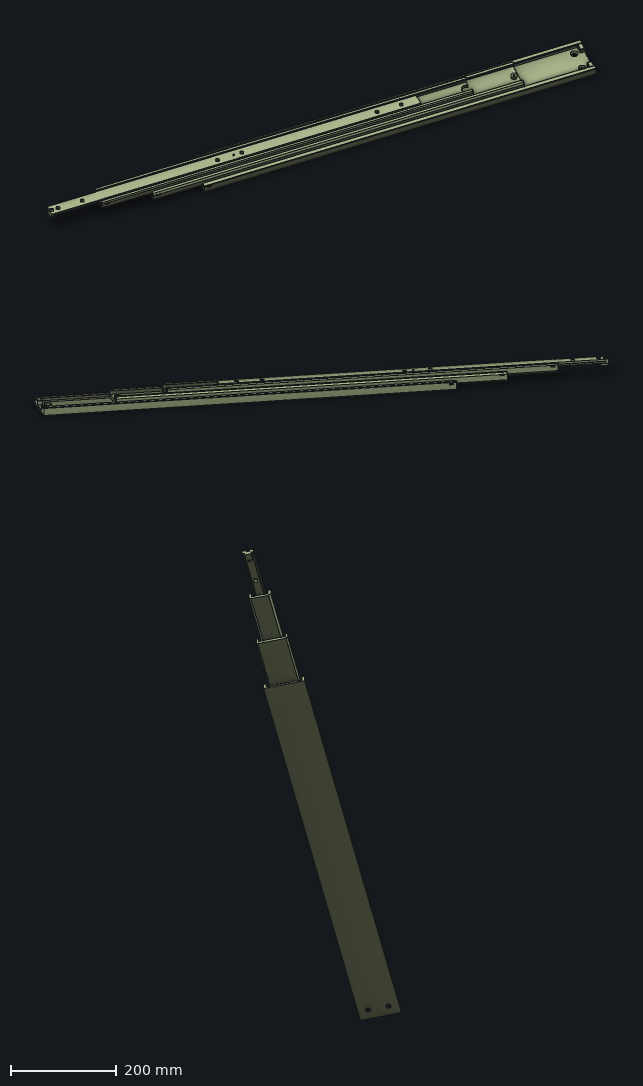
import cadquery as cq

total_length = 1100.0
part_height = 32.0
front_step = 100.0

outer_width = 80.0
outer_length = 800.0
outer_height = 15.0
outer_web = 4.0
outer_wall = 5.0
outer_lip_gap = 63.0
outer_top_bevel = 1.0
outer_foot = 2.0
outer_front = total_length - outer_length

stop_width = 18.0
stop_length = 10.0
stop_height = 9.0
stop_bevel = 1.0

screw_x = 20.0
screw_from_rear = 21.0
screw_diameter = 9.0
countersink_diameter = 14.0

middle_width = 62.0
middle_length = 757.0
middle_bottom = 7.0
middle_height = 18.0
middle_web = 7.0
middle_wall = 4.0
middle_lip_gap = 44.0
middle_top_bevel = 3.0
middle_bottom_bevel = 3.0

stud_diameter = 12.0
stud_bore = 4.0
stud_height = 4.0
stud_from_rear = 9.0

inner_width = 43.0
inner_length = 757.0
inner_bottom = 14.0
inner_web = 7.0
inner_wall = 5.0
inner_lip_gap = 29.0
inner_top_bevel = 2.0
inner_bottom_bevel = 4.0

rear_notch_radius = 9.4
rear_notch_from_rear = 6.0

lip_thickness = 3.0

window_length = 8.0
window_height = 2.0
window_from_front = 7.0

bar_width = 22.0
bar_length = 754.0
bar_flange = 4.0
bar_rib_width = 15.0
bar_rib_height = 4.0
bar_bottom = part_height - bar_flange - bar_rib_height

end_plate_thickness = 5.0
tongue_width = 13.0
tongue_length = 14.0
tongue_drop = 5.0
end_dimple_diameter = 8.0
end_dimple_depth = 3.0
end_dimple_y = 4.0

mount_hole_diameter = 7.2
mount_hole_first = 18.0
mount_hole_spacing = 50.0
mount_pair_pitch = 326.0
mount_pair_count = 3
pilot_hole_diameter = 3.0
pilot_hole_y = 376.0

inner_front = front_step
middle_front = inner_front + front_step


def box(width, length, height, y, z, x=0):
    """Box centred on x, running back from y and up from z."""
    return cq.Workplane("XY").box(width, length, height, centered=(True, False, False)).translate((x, y, z))


def cylinder(diameter, height, y, z, x=0):
    """Upright cylinder standing on z."""
    return cq.Workplane("XY").circle(diameter / 2).extrude(height).translate((x, y, z))


def long_edges(body, face, size):
    """Bevel the lengthwise edges of one face; a size of 0 leaves them sharp."""
    if size == 0:
        return body
    return body.faces(face).edges("|Y").chamfer(size)


def channel(width, length, height, web, wall, lip_gap, front, bottom, top_bevel, bottom_bevel, foot):
    """Upward-open channel; the mouth between its lips is narrower than the inside."""
    body = box(width, length, height, front, bottom)
    body = long_edges(body, ">Z", top_bevel)
    body = long_edges(body, "<Z", bottom_bevel)
    cavity = box(width - 2 * wall, length, height - web - lip_thickness, front, bottom + web)
    cavity = long_edges(cavity, "<Z", foot)
    mouth = box(lip_gap, length, lip_thickness, front, bottom + height - lip_thickness)
    window_z = bottom + height - lip_thickness - window_height
    windows = box(width, window_length, window_height, front + window_from_front, window_z)
    return body.cut(cavity).cut(mouth).cut(windows)


def make_outer():
    """Widest channel, with two rear corner stops and two countersunk screw holes."""
    body = channel(
        outer_width, outer_length, outer_height, outer_web, outer_wall, outer_lip_gap,
        outer_front, 0, outer_top_bevel, 0, outer_foot,
    )
    screw_y = total_length - screw_from_rear
    for side in (-1, 1):
        stop_x = side * (outer_width / 2 - outer_wall - stop_width / 2)
        stop = box(stop_width, stop_length, stop_height, total_length - stop_length, outer_web, stop_x)
        stop = stop.faces(">Z").edges().chamfer(stop_bevel)
        body = body.union(stop)
        sink = (
            cq.Workplane("XY", origin=(side * screw_x, screw_y, 0))
            .circle(screw_diameter / 2)
            .workplane(offset=outer_web)
            .circle(countersink_diameter / 2)
            .loft()
        )
        body = body.cut(sink)
    return body


def make_middle():
    """Channel riding in the outer one, with a hollow stop stud at the rear."""
    body = channel(
        middle_width, middle_length, middle_height, middle_web, middle_wall, middle_lip_gap,
        middle_front, middle_bottom, middle_top_bevel, middle_bottom_bevel, 0,
    )
    stud_y = middle_front + middle_length - stud_from_rear
    web_top = middle_bottom + middle_web
    stud = cylinder(stud_diameter, stud_height, stud_y, web_top)
    bore = cylinder(stud_bore, stud_height, stud_y, web_top)
    return body.union(stud).cut(bore)


def make_inner():
    """Channel riding in the middle one, with a round notch in its rear edge."""
    body = channel(
        inner_width, inner_length, part_height - inner_bottom, inner_web, inner_wall, inner_lip_gap,
        inner_front, inner_bottom, inner_top_bevel, inner_bottom_bevel, 0,
    )
    notch_y = inner_front + inner_length - rear_notch_from_rear
    return body.cut(cylinder(2 * rear_notch_radius, inner_web, notch_y, inner_bottom))


def make_bar():
    """Flanged bar with a downward tongue at its front end and pairs of mounting holes."""
    body = box(bar_width, bar_length, bar_flange, 0, part_height - bar_flange)
    body = body.union(box(bar_rib_width, bar_length, bar_rib_height, 0, bar_bottom))
    body = body.union(box(bar_width, end_plate_thickness, part_height - bar_bottom, 0, bar_bottom))
    body = body.union(box(tongue_width, tongue_length, tongue_drop, 0, bar_bottom - tongue_drop))
    dimple_floor = part_height - end_dimple_depth
    body = body.cut(cylinder(end_dimple_diameter, end_dimple_depth, end_dimple_y, dimple_floor))
    depth = part_height - bar_bottom
    for pair in range(mount_pair_count):
        for hole in range(2):
            y = mount_hole_first + pair * mount_pair_pitch + hole * mount_hole_spacing
            body = body.cut(cylinder(mount_hole_diameter, depth, y, bar_bottom))
    return body.cut(cylinder(pilot_hole_diameter, depth, pilot_hole_y, bar_bottom))


outer = make_outer()
middle = make_middle()
inner = make_inner()
bar = make_bar()
result = cq.Compound.makeCompound([outer.val(), middle.val(), inner.val(), bar.val()])